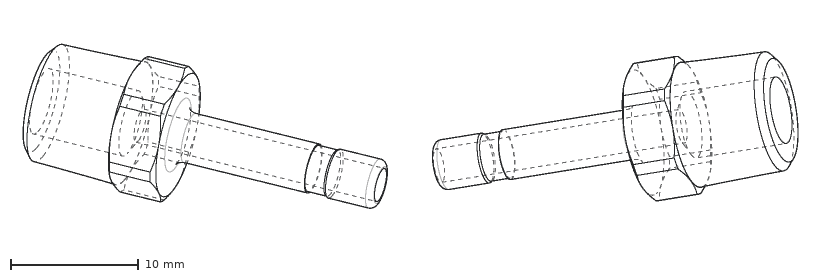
import cadquery as cq
import math

total_length = 28.5
thread_length = 7.5
hex_length = 4.0
hex_end = thread_length + hex_length
groove_start = 22.85
groove_end = 24.45

thread_face_radius = 4.13
thread_start_radius = 4.75
thread_chamfer_length = 0.57
taper_slope = 1 / 32
thread_end_radius = thread_start_radius + taper_slope * (thread_length - thread_chamfer_length)

across_flats = 10.0
across_corners = across_flats / math.cos(math.radians(30))
corner_radius = 5.5
hex_face_radius = across_flats / 2
hex_chamfer_angle = math.radians(30)
hex_chamfer_length = (corner_radius - hex_face_radius) * math.tan(hex_chamfer_angle)

stem_radius = 2.0
root_fillet = 1.0
tip_fillet = 0.5
groove_radius = 1.88
groove_chamfer_length = 0.17

bore_radius = 2.65
bore_depth = thread_length
passage_radius = 1.35
drill_half_angle = math.radians(59)
cone_length = (bore_radius - passage_radius) / math.tan(drill_half_angle)


def revolve_about_x(profile):
    """Close a profile of (x, radius) points and turn it about the X axis."""
    return profile.close().revolve(360, (0, 0, 0), (1, 0, 0))


def make_thread_body():
    profile = cq.Workplane("XY").polyline([
        (0, 0),
        (0, thread_face_radius),
        (thread_chamfer_length, thread_start_radius),
        (thread_length, thread_end_radius),
        (thread_length, 0),
    ])
    return revolve_about_x(profile)


def make_hexagon():
    prism = (
        cq.Workplane("YZ", origin=(thread_length, 0, 0))
        .polygon(6, across_corners)
        .extrude(hex_length)
    )
    turned_profile = cq.Workplane("XY").polyline([
        (thread_length, 0),
        (thread_length, hex_face_radius),
        (thread_length + hex_chamfer_length, corner_radius),
        (hex_end - hex_chamfer_length, corner_radius),
        (hex_end, hex_face_radius),
        (hex_end, 0),
    ])
    return prism.intersect(revolve_about_x(turned_profile))


def make_stem():
    root_mid_offset = root_fillet * (1 - math.sqrt(0.5))
    tip_mid_offset = tip_fillet * (1 - math.sqrt(0.5))
    profile = (
        cq.Workplane("XY")
        .moveTo(hex_end, 0)
        .lineTo(hex_end, stem_radius + root_fillet)
        .threePointArc(
            (hex_end + root_mid_offset, stem_radius + root_mid_offset),
            (hex_end + root_fillet, stem_radius),
        )
        .lineTo(groove_start, stem_radius)
        .lineTo(groove_start, groove_radius)
        .lineTo(groove_end, groove_radius)
        .lineTo(groove_end + groove_chamfer_length, stem_radius)
        .lineTo(total_length - tip_fillet, stem_radius)
        .threePointArc(
            (total_length - tip_mid_offset, stem_radius - tip_mid_offset),
            (total_length, stem_radius - tip_fillet),
        )
        .lineTo(total_length, 0)
    )
    return revolve_about_x(profile)


def make_bore():
    profile = cq.Workplane("XY").polyline([
        (0, 0),
        (0, bore_radius),
        (bore_depth, bore_radius),
        (bore_depth + cone_length, passage_radius),
        (total_length, passage_radius),
        (total_length, 0),
    ])
    return revolve_about_x(profile)


result = make_thread_body().union(make_hexagon()).union(make_stem()).cut(make_bore())